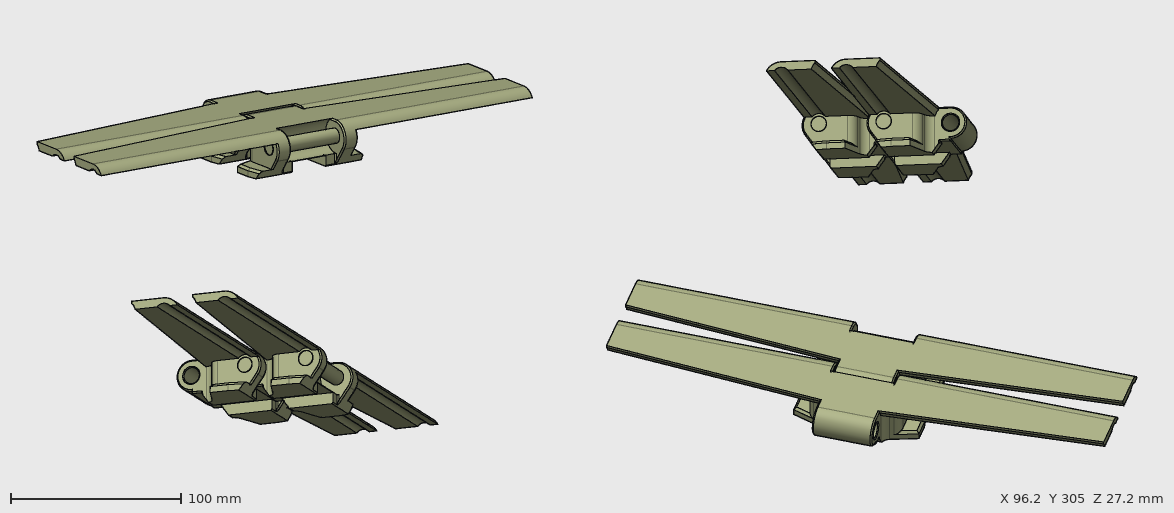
import cadquery as cq
import math


link_count = 2
pitch = 38.7
top_z = 9.5
bottom_z = -17.7
wing_end_y = 152.5

knuckle_radius = top_z
knuckle_bore_radius = 5.0
bore_chamfer = 0.5
knuckle_half_width = 18.3
web_bottom_z = -11.0
web_end_x = 6.0
body_start_x = 11.0
body_end_x = 38.0
body_half_width = 28.3
edge_chamfer = 1.0

nose_x = 38.0
nose_radius = 10.0
nose_z = top_z - nose_radius
pin_radius = 4.5
pin_recess = 0.5
slot_half_width = 19.0
slot_radius = 10.7

channel_half_width = 12.0

step_radius = 5.5

foot_half_width = 38.5
foot_top_z = -12.5
foot_start_x = 13.5
foot_tip_start_x = 20.5
foot_tip_end_x = 31.7
foot_corner_depth = 3.0
foot_chamfer = 1.5

wing_bottom_z = 4.3
wing_root_x = 7.0
wing_tip_x = 18.0
wing_land_bottom_z = 8.0
wing_edge_lean = 2.0
wing_edge_hollow = 0.3
wing_groove_radius = 5.2
wing_groove_z = 1.0


def block_across(profile, half_width):
    """Extrude an XZ profile over both sides of the chain centre."""
    return profile.extrude(2 * half_width).translate((0, half_width, 0))


def cylinder_across(x, radius, half_width):
    """Cylinder along Y, centred on the chain."""
    return block_across(cq.Workplane("XZ").center(x, 0).circle(radius), half_width)


def nose_point(angle):
    """Point on the rounded nose at an angle above the X axis."""
    return nose_x + nose_radius * math.cos(angle), nose_z + nose_radius * math.sin(angle)


def body_profile():
    drop = nose_z - bottom_z
    tangent_angle = -math.asin(nose_radius / drop)
    return (
        cq.Workplane("XZ")
        .moveTo(0, top_z)
        .lineTo(nose_x, top_z)
        .threePointArc(nose_point(0), nose_point(tangent_angle))
        .lineTo(body_end_x, bottom_z)
        .lineTo(body_start_x, bottom_z)
        .lineTo(web_end_x, web_bottom_z)
        .lineTo(0, web_bottom_z)
        .lineTo(0, -knuckle_radius)
        .threePointArc((-knuckle_radius, 0), (0, top_z))
        .close()
    )


def body_plan(side):
    """Column bounded by one body side, with a rounded step out from the knuckle side."""
    far_x = nose_x + 2 * nose_radius
    step_slope = (foot_tip_start_x - foot_start_x) / (foot_half_width - knuckle_half_width)
    step_end_x = foot_start_x + step_slope * (body_half_width - knuckle_half_width)
    column = (
        cq.Workplane("XY", origin=(0, 0, bottom_z))
        .moveTo(0, 0)
        .lineTo(far_x, 0)
        .lineTo(far_x, side * body_half_width)
        .lineTo(step_end_x, side * body_half_width)
        .lineTo(foot_start_x, side * knuckle_half_width)
        .lineTo(0, side * knuckle_half_width)
        .close()
        .extrude(top_z - bottom_z)
    )
    for corner in ((foot_start_x, side * knuckle_half_width), (step_end_x, side * body_half_width)):
        corner_edge = cq.selectors.NearestToPointSelector((*corner, (top_z + bottom_z) / 2))
        column = column.edges(corner_edge).fillet(step_radius)
    return column


def foot_plan(side):
    """Foot plate tapering from the body to its tip, with chamfered upper edges."""
    far_x = nose_x + nose_radius
    tip_y = side * foot_half_width
    return (
        cq.Workplane("XY", origin=(0, 0, bottom_z))
        .moveTo(foot_start_x, side * knuckle_half_width)
        .lineTo(foot_tip_start_x, tip_y)
        .lineTo(foot_tip_end_x, tip_y)
        .lineTo(far_x, tip_y - side * foot_corner_depth)
        .lineTo(far_x, side * knuckle_half_width)
        .close()
        .extrude(foot_top_z - bottom_z)
        .faces(">Z")
        .chamfer(foot_chamfer)
    )


def chamfered_body_block(half_width):
    return block_across(body_profile(), half_width).faces("<Y or >Y").chamfer(edge_chamfer)


def make_body():
    body = chamfered_body_block(knuckle_half_width)
    wide_block = chamfered_body_block(body_half_width)
    foot_block = block_across(body_profile(), foot_half_width)
    behind_knuckle = cq.Workplane("XY").box(
        nose_x + nose_radius,
        2 * foot_half_width,
        2 * (top_z - bottom_z),
        centered=(False, True, True),
    ).translate((wing_root_x, 0, 0))
    for side in (-1, 1):
        body = body.union(wide_block.intersect(body_plan(side)).intersect(behind_knuckle))
        body = body.union(foot_block.intersect(foot_plan(side)))
    return body


def wing_section(y, lead_x):
    """Cross-section of a wing: leading edge hollowed below a narrow land, rounded trailing edge."""
    trail_angle = math.asin((wing_bottom_z - nose_z) / nose_radius)
    edge_middle = (
        lead_x + wing_edge_lean / 2 + wing_edge_hollow,
        (wing_land_bottom_z + wing_bottom_z) / 2,
    )
    return (
        cq.Workplane("XZ", origin=(0, y, 0))
        .moveTo(lead_x, top_z)
        .lineTo(nose_x, top_z)
        .threePointArc(nose_point((math.pi / 2 + trail_angle) / 2), nose_point(trail_angle))
        .lineTo(lead_x + wing_edge_lean, wing_bottom_z)
        .threePointArc(edge_middle, (lead_x, wing_land_bottom_z))
        .close()
        .wire()
        .val()
    )


def make_wing(side):
    root = wing_section(side * (knuckle_half_width - edge_chamfer), wing_root_x)
    tip = wing_section(side * wing_end_y, wing_tip_x)
    groove = (
        cq.Workplane("XZ", origin=(nose_x, side * body_half_width, wing_groove_z))
        .circle(wing_groove_radius)
        .extrude(-side * (wing_end_y - body_half_width))
    )
    return cq.Workplane(cq.Solid.makeLoft([root, tip], True)).cut(groove)


def knuckle_slot():
    """Room at the trailing end for the knuckle of the next link."""
    opening_length = 2 * nose_radius
    opening = cq.Workplane("XY").box(
        opening_length,
        2 * slot_half_width,
        2 * (top_z - bottom_z),
        centered=(False, True, True),
    )
    return cylinder_across(0, slot_radius, slot_half_width).union(opening).translate((pitch, 0, 0))


def slot_rim(side):
    """Selector for the outer edges of one side face of the knuckle slot."""
    rim_y = side * slot_half_width
    margin = edge_chamfer / 2
    return cq.selectors.BoxSelector(
        (pitch - slot_radius / 2, rim_y - margin, bottom_z - margin),
        (nose_x + nose_radius, rim_y + margin, top_z + margin),
    )


def channel():
    """Groove along the underside of the body."""
    return cq.Workplane("XY", origin=(0, 0, bottom_z)).box(
        nose_x + nose_radius,
        2 * channel_half_width,
        web_bottom_z - bottom_z,
        centered=(False, True, False),
    )


def knuckle_bore():
    """Bore through the knuckle, flared at both mouths."""
    bore = cylinder_across(0, knuckle_bore_radius, knuckle_half_width)
    for side in (-1, 1):
        flare = cq.Solid.makeCone(
            knuckle_bore_radius + bore_chamfer,
            knuckle_bore_radius,
            bore_chamfer,
            cq.Vector(0, side * knuckle_half_width, 0),
            cq.Vector(0, -side, 0),
        )
        bore = bore.union(cq.Workplane(flare))
    return bore


def pin_end_recesses():
    """Shallow recesses in the body sides that leave the pin ends visible."""
    outer = cylinder_across(nose_x, pin_radius, body_half_width)
    return outer.cut(cylinder_across(nose_x, pin_radius, body_half_width - pin_recess))


def make_link():
    link = make_body()
    for side in (-1, 1):
        link = link.union(make_wing(side))
    link = link.cut(knuckle_slot())
    for side in (-1, 1):
        link = link.edges(slot_rim(side)).chamfer(edge_chamfer)
    link = link.cut(channel())
    link = link.cut(pin_end_recesses())
    link = link.cut(knuckle_bore())
    return link.union(cylinder_across(nose_x, pin_radius, body_half_width - pin_recess))


link = make_link()
result = link
for index in range(1, link_count):
    result = result.union(link.translate((index * pitch, 0, 0)))